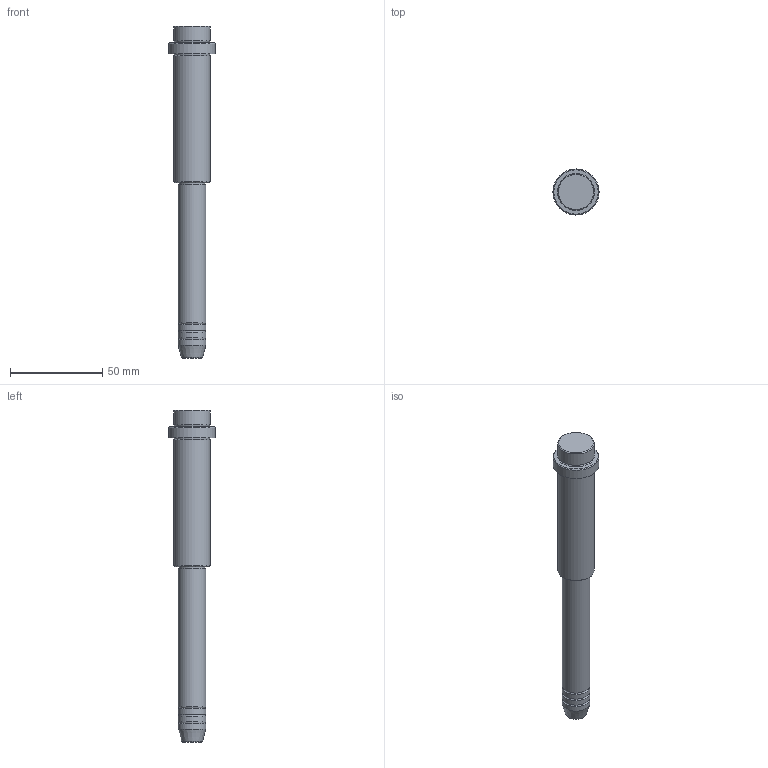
import cadquery as cq
import math

total_length = 180.0
collar_radius = 25.0 / 2
shank_radius = 20.0 / 2
pin_radius = 15.0 / 2

head_height = 9.0
collar_thickness = 6.0
shank_length = 70.0
collar_top = total_length - head_height
collar_bottom = collar_top - collar_thickness
shank_bottom = collar_bottom - shank_length

edge_chamfer = 0.5
neck_width = 1.0
neck_depth = 0.5
groove_radius = 0.5

taper_length = 7.0
taper_angle = 15.0
tip_radius = pin_radius - taper_length * math.tan(math.radians(taper_angle))
tip_fillet = 0.5

oil_groove_count = 3
oil_groove_pitch = 4.0
first_oil_groove_height = 10.5


def cylinder(radius, bottom, top):
    """Solid cylinder about Z between two heights."""
    return cq.Workplane("XY").workplane(offset=bottom).circle(radius).extrude(top - bottom)


def revolved(profile):
    """Spin an XZ profile (local x = radius, local y = height) about the Z axis."""
    return profile.close().revolve(360, (0, 0, 0), (0, 1, 0))


def make_head():
    head = cylinder(shank_radius, collar_top, total_length)
    return head.faces(">Z").edges().chamfer(edge_chamfer)


def make_collar():
    collar = cylinder(collar_radius, collar_bottom, collar_top)
    return collar.faces(">Z").edges().chamfer(edge_chamfer)


def make_shank():
    shank = cylinder(shank_radius, shank_bottom, collar_bottom)
    return shank.faces("<Z").edges().chamfer(edge_chamfer)


def make_pin():
    pin = cylinder(pin_radius, taper_length, shank_bottom)
    taper = revolved(
        cq.Workplane("XZ")
        .moveTo(0, 0)
        .lineTo(tip_radius, 0)
        .lineTo(pin_radius, taper_length)
        .lineTo(0, taper_length)
    )
    return pin.union(taper).faces("<Z").edges().fillet(tip_fillet)


def round_groove(radius, height):
    """Semicircular ring, centred on the given height of a cylinder's surface."""
    return revolved(
        cq.Workplane("XZ")
        .moveTo(radius, height - groove_radius)
        .radiusArc((radius - groove_radius, height), groove_radius)
        .radiusArc((radius, height + groove_radius), groove_radius)
    )


def make_neck():
    """Square-section ring that undercuts the pin below the shank shoulder."""
    neck_bottom = shank_bottom - neck_width
    outer = cylinder(pin_radius, neck_bottom, shank_bottom)
    inner = cylinder(pin_radius - neck_depth, neck_bottom, shank_bottom)
    return outer.cut(inner)


result = make_head().union(make_collar()).union(make_shank()).union(make_pin())

result = result.cut(make_neck())
result = result.cut(round_groove(shank_radius, collar_top + groove_radius))
result = result.cut(round_groove(shank_radius, collar_bottom - groove_radius))

for index in range(oil_groove_count):
    result = result.cut(round_groove(pin_radius, first_oil_groove_height + index * oil_groove_pitch))